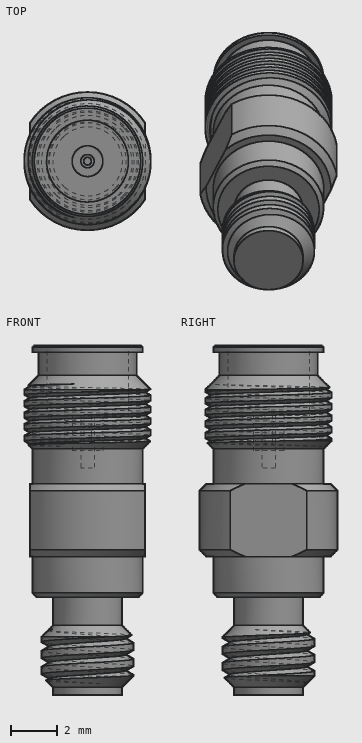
import cadquery as cq
import math

LENGTH = 15.15

LOWER_NECK_RADIUS = 1.5
LOWER_THREAD_RADIUS = 2.0
LOWER_THREAD_BOTTOM = 0.33
LOWER_THREAD_TOP = 3.01
LOWER_PITCH = 0.7
LOWER_GROOVE_DEPTH = 0.33
LOWER_GROOVE_Z = 1.06

BARREL_RADIUS = 2.4
BARREL_BOTTOM = 4.23
BARREL_CHAMFER = 0.2

COLLAR_RADIUS = 3.0
COLLAR_BOTTOM = 6.0
COLLAR_TOP = 9.15
COLLAR_CHAMFER = 0.3
ACROSS_FLATS = 5.0

UPPER_THREAD_DIAMETER = 5.5
UPPER_THREAD_RADIUS = UPPER_THREAD_DIAMETER / 2
UPPER_THREAD_BOTTOM = 10.67
UPPER_THREAD_TOP = 13.85
UPPER_PITCH = 0.5
UPPER_GROOVE_DEPTH = 0.24
UPPER_GROOVE_Z = 12.62
UPPER_NECK_RADIUS = 2.14
RIM_HEIGHT = 0.3
RIM_CHAMFER = 0.09

GROOVE_ANGLE = 60.0
GROOVE_OVERCUT = 0.05

BORE_RADIUS = 1.77
BORE_DEPTH = 3.03
RECESS_RADIUS = 0.67
RECESS_DEPTH = 1.52
CONTACT_RADIUS = 0.29
CONTACT_SEAT_DEPTH = 0.75
SOCKET_RADIUS = 0.17
SOCKET_DEPTH = 1.21

BORE_FLOOR = LENGTH - BORE_DEPTH
RECESS_FLOOR = BORE_FLOOR - RECESS_DEPTH
CONTACT_BOTTOM = RECESS_FLOOR - CONTACT_SEAT_DEPTH


def make_cylinder(radius, bottom, top):
    return cq.Workplane("XY").workplane(offset=bottom).circle(radius).extrude(top - bottom)


def make_barrel():
    """Plain turned length between the two threads, chamfered at its lower edge."""
    barrel = make_cylinder(BARREL_RADIUS, BARREL_BOTTOM, UPPER_THREAD_BOTTOM)
    return barrel.faces("<Z").chamfer(BARREL_CHAMFER)


def make_rim():
    """Thin flange at the mouth, chamfered at its top edge."""
    rim = make_cylinder(BARREL_RADIUS, LENGTH - RIM_HEIGHT, LENGTH)
    return rim.faces(">Z").chamfer(RIM_CHAMFER)


def make_collar():
    """Chamfered round collar cut down to two parallel flats."""
    collar = make_cylinder(COLLAR_RADIUS, COLLAR_BOTTOM, COLLAR_TOP)
    collar = collar.edges("%CIRCLE").chamfer(COLLAR_CHAMFER)
    flats = (
        cq.Workplane("XY")
        .workplane(offset=COLLAR_BOTTOM)
        .rect(ACROSS_FLATS, 2 * COLLAR_RADIUS)
        .extrude(COLLAR_TOP - COLLAR_BOTTOM)
    )
    return collar.intersect(flats)


def make_coned_length(crest_radius, bottom_radius, top_radius, bottom, top):
    """Cylinder narrowing by 45 degree cones to the given radii at its ends."""
    profile = [
        (0, bottom),
        (bottom_radius, bottom),
        (crest_radius, bottom + crest_radius - bottom_radius),
        (crest_radius, top - crest_radius + top_radius),
        (top_radius, top),
        (0, top),
    ]
    return cq.Workplane("XZ").polyline(profile).close().revolve(360, (0, 0), (0, 1))


def make_thread(envelope, crest_radius, depth, pitch, groove_z, bottom, top):
    """Right-handed V groove cut in a long rod, which is then trimmed to the coned envelope."""
    root_radius = crest_radius - depth
    outer_radius = crest_radius + GROOVE_OVERCUT
    half_width = (outer_radius - root_radius) * math.tan(math.radians(GROOVE_ANGLE / 2))
    turns_below = math.ceil((groove_z - bottom) / pitch)
    turns_above = math.ceil((top - groove_z) / pitch)
    start_z = groove_z - turns_below * pitch
    height = (turns_below + turns_above) * pitch
    path = cq.Wire.makeHelix(pitch, height, root_radius, center=cq.Vector(0, 0, start_z))
    section = [
        (root_radius, start_z),
        (outer_radius, start_z - half_width),
        (outer_radius, start_z + half_width),
    ]
    groove = cq.Workplane("XZ").polyline(section).close().sweep(cq.Workplane(path), isFrenet=True)
    rod_margin = 2 * pitch
    rod = make_cylinder(crest_radius, bottom - rod_margin, top + rod_margin)
    return rod.cut(groove).intersect(envelope)


def make_lower_thread():
    envelope = make_coned_length(
        LOWER_THREAD_RADIUS, LOWER_NECK_RADIUS, LOWER_NECK_RADIUS,
        LOWER_THREAD_BOTTOM, LOWER_THREAD_TOP,
    )
    return make_thread(
        envelope, LOWER_THREAD_RADIUS, LOWER_GROOVE_DEPTH, LOWER_PITCH,
        LOWER_GROOVE_Z, LOWER_THREAD_BOTTOM, LOWER_THREAD_TOP,
    )


def make_upper_thread():
    envelope = make_coned_length(
        UPPER_THREAD_RADIUS, BARREL_RADIUS, UPPER_NECK_RADIUS,
        UPPER_THREAD_BOTTOM, UPPER_THREAD_TOP,
    )
    return make_thread(
        envelope, UPPER_THREAD_RADIUS, UPPER_GROOVE_DEPTH, UPPER_PITCH,
        UPPER_GROOVE_Z, UPPER_THREAD_BOTTOM, UPPER_THREAD_TOP,
    )


def make_housing():
    outside = (
        make_cylinder(LOWER_NECK_RADIUS, 0, LOWER_THREAD_BOTTOM)
        .union(make_lower_thread())
        .union(make_cylinder(LOWER_NECK_RADIUS, LOWER_THREAD_TOP, BARREL_BOTTOM))
        .union(make_barrel())
        .union(make_collar())
        .union(make_upper_thread())
        .union(make_cylinder(UPPER_NECK_RADIUS, UPPER_THREAD_TOP, LENGTH - RIM_HEIGHT))
        .union(make_rim())
    )
    bore = make_cylinder(BORE_RADIUS, BORE_FLOOR, LENGTH)
    recess = make_cylinder(RECESS_RADIUS, RECESS_FLOOR, BORE_FLOOR)
    contact_seat = make_cylinder(CONTACT_RADIUS, CONTACT_BOTTOM, RECESS_FLOOR)
    return outside.cut(bore).cut(recess).cut(contact_seat)


def make_contact():
    """Centre contact, seated in the recess floor, with a blind socket in its top end."""
    pin = make_cylinder(CONTACT_RADIUS, CONTACT_BOTTOM, BORE_FLOOR)
    socket = make_cylinder(SOCKET_RADIUS, BORE_FLOOR - SOCKET_DEPTH, BORE_FLOOR)
    return pin.cut(socket)


housing = make_housing()
contact = make_contact()
result = cq.Compound.makeCompound([housing.solids().val(), contact.solids().val()])